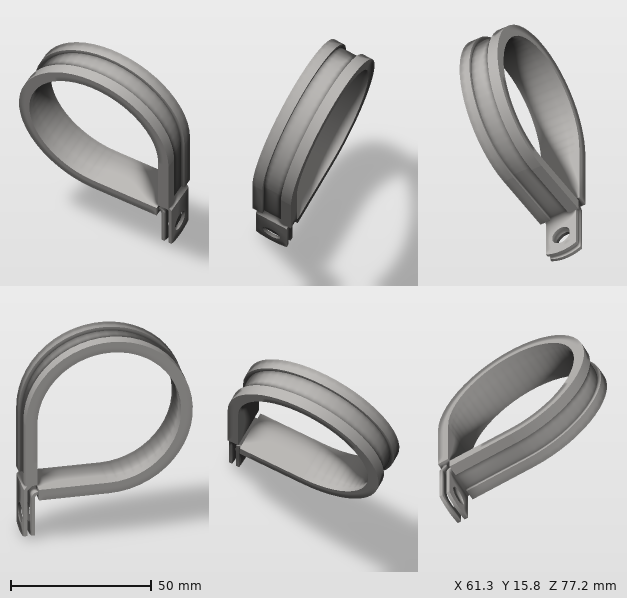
import cadquery as cq
import math

outer_radius = 30.5
cushion_thickness = 4.25
cushion_width = 15.75
groove_width = 7.6
groove_depth = 1.5
side_leg_end_z = -24.3
bottom_leg_end_x = 25.6

strap_thickness = 1.2
strap_width = 12.7
bend_radius = 2.3
outer_tab_x = 30.8
jog_start_z = -24.7
tab_end_z = -46.7
tab_end_sag = 1.5
hole_diameter = 7.25
hole_z = -38.75
embed_length = 0.8

inner_radius = outer_radius - cushion_thickness
strap_radius = outer_radius - groove_depth


def extrude_across(profile, width):
    """Extrude an XZ profile symmetrically about the Y = 0 plane."""
    return profile.extrude(width / 2, both=True)


def loop_band(inside, outside, width):
    """Three-quarter ring with straight legs down and to the right."""
    diagonal = math.sqrt(0.5)
    profile = (
        cq.Workplane("XZ")
        .moveTo(outside, side_leg_end_z)
        .lineTo(outside, 0)
        .threePointArc((-outside * diagonal, outside * diagonal), (0, -outside))
        .lineTo(bottom_leg_end_x, -outside)
        .lineTo(bottom_leg_end_x, -inside)
        .lineTo(0, -inside)
        .threePointArc((-inside * diagonal, inside * diagonal), (inside, 0))
        .lineTo(inside, side_leg_end_z)
        .close()
    )
    return extrude_across(profile, width)


def bent_strap():
    """Strap from the bottom leg, turning down through a right-angle bend."""
    lower_z = -strap_radius
    upper_z = lower_z + strap_thickness
    center_z = upper_z - bend_radius
    tab_x = bottom_leg_end_x + bend_radius
    inside_radius = bend_radius - strap_thickness
    profile = (
        cq.Workplane("XZ")
        .moveTo(bottom_leg_end_x - embed_length, upper_z)
        .lineTo(bottom_leg_end_x, upper_z)
        .radiusArc((tab_x, center_z), bend_radius)
        .lineTo(tab_x, tab_end_z)
        .lineTo(tab_x - strap_thickness, tab_end_z)
        .lineTo(tab_x - strap_thickness, center_z)
        .radiusArc((bottom_leg_end_x, lower_z), -inside_radius)
        .lineTo(bottom_leg_end_x - embed_length, lower_z)
        .close()
    )
    return extrude_across(profile, strap_width)


def jogged_strap():
    """Strap from the side leg, stepping outward through a 45 degree jog."""
    jog_end_z = jog_start_z - (outer_tab_x - strap_radius)
    miter = strap_thickness * math.tan(math.radians(22.5))
    profile = cq.Workplane("XZ").polyline([
        (strap_radius, side_leg_end_z + embed_length),
        (strap_radius, jog_start_z),
        (outer_tab_x, jog_end_z),
        (outer_tab_x, tab_end_z),
        (outer_tab_x - strap_thickness, tab_end_z),
        (outer_tab_x - strap_thickness, jog_end_z - miter),
        (strap_radius - strap_thickness, jog_start_z - miter),
        (strap_radius - strap_thickness, side_leg_end_z + embed_length),
    ]).close()
    return extrude_across(profile, strap_width)


def tab_envelope():
    """Rounded-end block with the bolt hole, which trims both straps."""
    half_width = strap_width / 2
    corner_z = tab_end_z + tab_end_sag
    return (
        cq.Workplane("YZ")
        .moveTo(-half_width, 0)
        .lineTo(-half_width, corner_z)
        .threePointArc((0, tab_end_z), (half_width, corner_z))
        .lineTo(half_width, 0)
        .close()
        .extrude(outer_tab_x)
        .cut(cq.Workplane("YZ").center(0, hole_z).circle(hole_diameter / 2).extrude(outer_tab_x))
    )


cushion = loop_band(inner_radius, outer_radius, cushion_width)
groove = loop_band(strap_radius, outer_radius, groove_width)
straps = bent_strap().union(jogged_strap()).intersect(tab_envelope())

result = cushion.cut(groove).union(straps)